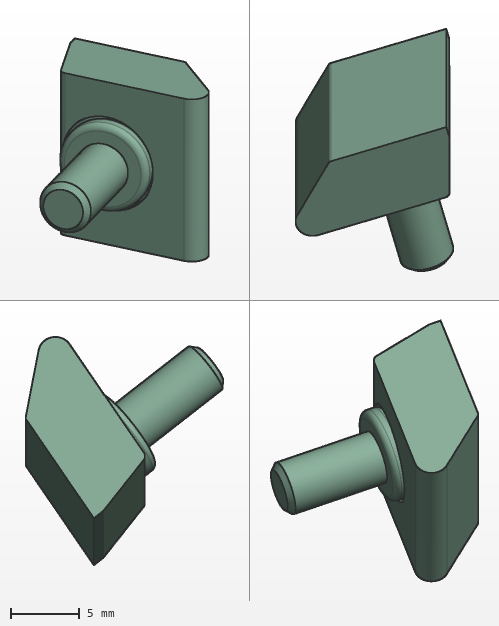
import cadquery as cq
import math


block_height = 13.0
block_width = 12.7
block_depth = 6.9
left_side = -5.1
left_land = 0.9
face_tilt = 5.5
left_flank_angle = 76.3
right_flank_angle = 49.5
nose_radius = 1.25
left_corner_radius = 0.5
rear_corner_radius = 0.3

total_depth = 15.0
shank_diameter = 4.0
tip_chamfer = 0.44
head_diameter = 7.0
head_thickness = 1.5
head_edge_radius = 0.5
head_front_y = -7.3
seat_y = head_front_y + head_thickness

bore_diameter = 7.4


def line_crossing(point_a, slope_a, point_b, slope_b):
    """Crossing of two lines in the XY plane, each given by a point and a falling slope in degrees."""
    fall_a = math.tan(math.radians(slope_a))
    fall_b = math.tan(math.radians(slope_b))
    x = (point_b[1] - point_a[1] + fall_b * point_b[0] - fall_a * point_a[0]) / (fall_b - fall_a)
    return (x, point_a[1] - fall_a * (x - point_a[0]))


def nose_tangent_point(direction):
    """Point on the nose circle in the given direction from its centre, degrees from +X."""
    angle = math.radians(direction)
    centre_x = left_side + block_width - nose_radius
    centre_y = -block_depth + nose_radius
    return (centre_x + nose_radius * math.cos(angle), centre_y + nose_radius * math.sin(angle))


def make_block():
    rear_left = (left_side, 0)
    land_end = (left_side, -left_land)
    on_front_face = nose_tangent_point(-90 - face_tilt)
    on_right_flank = nose_tangent_point(90 - right_flank_angle)
    front_left = line_crossing(land_end, left_flank_angle, on_front_face, face_tilt)
    nose = line_crossing(on_front_face, face_tilt, on_right_flank, right_flank_angle)
    rear_right = line_crossing(rear_left, face_tilt, on_right_flank, right_flank_angle)

    block = (
        cq.Workplane("XY")
        .polyline([rear_left, land_end, front_left, nose, rear_right])
        .close()
        .extrude(block_height / 2, both=True)
    )
    rounded_corners = [
        (front_left, left_corner_radius),
        (nose, nose_radius),
        (rear_right, rear_corner_radius),
    ]
    for (x, y), radius in rounded_corners:
        corner_edge = cq.selectors.NearestToPointSelector((x, y, 0))
        block = block.edges("|Z").edges(corner_edge).fillet(radius)
    return block


def cylinder_toward_front(diameter, start_y, end_y):
    """Cylinder on the screw axis from start_y forward (toward -Y) to end_y."""
    base = cq.Workplane("XZ", origin=(0, start_y, 0))
    return base.circle(diameter / 2).extrude(start_y - end_y)


def make_screw():
    head = cylinder_toward_front(head_diameter, seat_y, head_front_y)
    head = head.edges("%CIRCLE").fillet(head_edge_radius)
    shank = cylinder_toward_front(shank_diameter, seat_y, -total_depth)
    shank = shank.faces("<Y").chamfer(tip_chamfer)
    return head.union(shank)


head_bore = cylinder_toward_front(bore_diameter, seat_y, -total_depth)
result = make_block().cut(head_bore).union(make_screw())